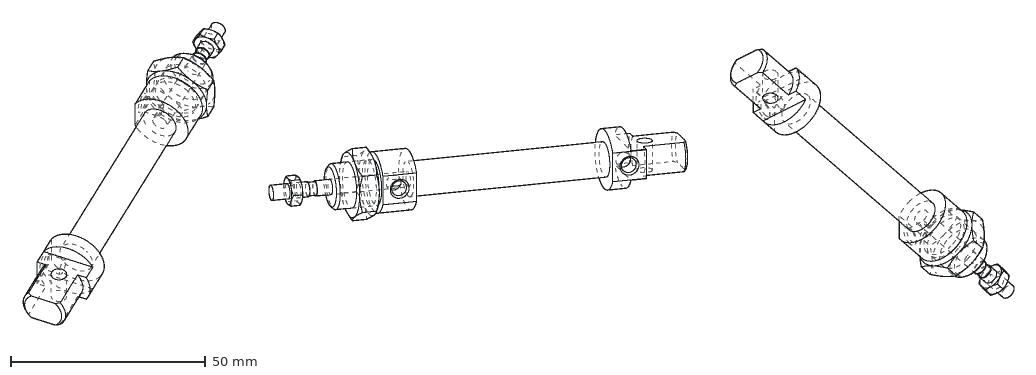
import cadquery as cq
import math

LENGTH = 111.0
ROD_TIP = LENGTH / 2
SHANK_END = -LENGTH / 2

ROD_DIAMETER = 4.0
NECK_DIAMETER = 3.5
NECK_FRONT = 45.6
NECK_LENGTH = 2.0

ROD_NUT_FRONT = 51.1
ROD_NUT_THICKNESS = 3.0
ROD_NUT_FLATS = 7.0
MOUNT_NUT_FRONT = 34.3
MOUNT_NUT_THICKNESS = 5.3
MOUNT_NUT_FLATS = 17.0
BEVEL_ANGLE = 30.0

NOSE_DIAMETER = 12.0
NOSE_FRONT = 39.5
NOSE_CHAMFER = 0.8
COLLAR_DIAMETER = 16.0
COLLAR_FRONT = 27.5
COLLAR_LENGTH = 9.1
COLLAR_REAR = COLLAR_FRONT - COLLAR_LENGTH
COLLAR_FLAT_X = -7.0
TUBE_DIAMETER = 9.2
CAP_FRONT = -34.6
CAP_REAR = CAP_FRONT - COLLAR_LENGTH
CAP_ROUND_LENGTH = 5.0
SHANK_DIAMETER = 12.0
SHANK_THICKNESS = 8.0
SHANK_CHAMFER = 0.8
PIVOT_HOLE_DIAMETER = 4.0
PIVOT_HOLE_Y = -45.5

PORT_DIAMETER = 4.0
PORT_MOUTH_DIAMETER = 5.1
PORT_MOUTH_DEPTH = (PORT_MOUTH_DIAMETER - PORT_DIAMETER) / 2
PORT_FLOOR_X = -1.8
FRONT_PORT_Y = COLLAR_FRONT - COLLAR_LENGTH / 2
REAR_PORT_Y = CAP_FRONT - COLLAR_LENGTH / 2


def cylinder(diameter, front, rear):
    """Solid cylinder on the Y axis from front back to rear."""
    return cq.Workplane("XZ", origin=(0, front, 0)).circle(diameter / 2).extrude(front - rear)


def make_rod():
    """Piston rod with a narrow neck, ending at the back of the collar."""
    rod = cylinder(ROD_DIAMETER, ROD_TIP, COLLAR_REAR)
    neck_rear = NECK_FRONT - NECK_LENGTH
    groove = cylinder(ROD_DIAMETER, NECK_FRONT, neck_rear).cut(
        cylinder(NECK_DIAMETER, NECK_FRONT, neck_rear)
    )
    return rod.cut(groove)


def make_nut(flats, thickness, bore, front, turn):
    """Hexagon nut with its corners bevelled on both faces.

    A turn of 0 puts two corners on the X direction, 30 degrees puts two on Z.
    """
    corner_diameter = flats / math.cos(math.radians(30))
    corner_radius = corner_diameter / 2
    bevel = (corner_radius - flats / 2) * math.tan(math.radians(BEVEL_ANGLE))
    hexagon = (
        cq.Workplane("XZ", origin=(0, front, 0))
        .polygon(6, corner_diameter)
        .extrude(thickness)
        .rotate((0, 0, 0), (0, 1, 0), turn)
    )
    envelope = cylinder(corner_diameter, front, front - thickness)
    envelope = envelope.faces("|Y").chamfer(bevel, corner_radius - flats / 2)
    return hexagon.intersect(envelope).cut(cylinder(bore, front, front - thickness))


def make_nose():
    """Mounting spigot in front of the collar, chamfered at its tip."""
    radius = NOSE_DIAMETER / 2
    return (
        cq.Workplane("XY")
        .moveTo(0, COLLAR_FRONT)
        .lineTo(radius, COLLAR_FRONT)
        .lineTo(radius, NOSE_FRONT - NOSE_CHAMFER)
        .lineTo(radius - NOSE_CHAMFER, NOSE_FRONT)
        .lineTo(0, NOSE_FRONT)
        .close()
        .revolve(360, (0, 0, 0), (0, 1, 0))
    )


def make_collar(front):
    """Round collar with one flat on its -X side."""
    rear = front - COLLAR_LENGTH
    flat_side = cq.Workplane("XY").box(
        COLLAR_DIAMETER, COLLAR_LENGTH, COLLAR_DIAMETER, centered=(False, False, True)
    ).translate((COLLAR_FLAT_X, rear, 0))
    return cylinder(COLLAR_DIAMETER, front, rear).intersect(flat_side)


def make_end_cap():
    """Rear collar that thins to a flat-sided shank with a pivot hole."""
    shank = cylinder(SHANK_DIAMETER, CAP_REAR, SHANK_END).faces("<Y").chamfer(SHANK_CHAMFER)
    cap = make_collar(CAP_FRONT).union(shank)
    thin_front = CAP_FRONT - CAP_ROUND_LENGTH
    thin_length = thin_front - SHANK_END
    side_cut = cq.Workplane("XY").box(
        COLLAR_DIAMETER, thin_length, COLLAR_DIAMETER, centered=(True, False, False)
    )
    cap = cap.cut(side_cut.translate((0, SHANK_END, SHANK_THICKNESS / 2)))
    cap = cap.cut(side_cut.translate((0, SHANK_END, -SHANK_THICKNESS / 2 - COLLAR_DIAMETER)))
    pivot_hole = (
        cq.Workplane("XY", origin=(0, PIVOT_HOLE_Y, 0))
        .circle(PIVOT_HOLE_DIAMETER / 2)
        .extrude(SHANK_THICKNESS, both=True)
    )
    return cap.cut(pivot_hole)


def make_port(y):
    """Cutter for a blind port that enters the -X flat through a countersunk mouth."""
    return (
        cq.Workplane("XY", origin=(0, y, 0))
        .moveTo(COLLAR_FLAT_X, 0)
        .lineTo(COLLAR_FLAT_X, PORT_MOUTH_DIAMETER / 2)
        .lineTo(COLLAR_FLAT_X + PORT_MOUTH_DEPTH, PORT_DIAMETER / 2)
        .lineTo(PORT_FLOOR_X, PORT_DIAMETER / 2)
        .lineTo(PORT_FLOOR_X, 0)
        .close()
        .revolve(360, (0, 0, 0), (1, 0, 0))
    )


def make_housing():
    """Nose, front collar, tube and end cap in one piece, bored for the rod."""
    tube = cylinder(TUBE_DIAMETER, COLLAR_REAR, CAP_FRONT)
    housing = make_nose().union(make_collar(COLLAR_FRONT)).union(tube).union(make_end_cap())
    for port_y in (FRONT_PORT_Y, REAR_PORT_Y):
        housing = housing.cut(make_port(port_y))
    return housing.cut(cylinder(ROD_DIAMETER, NOSE_FRONT, COLLAR_REAR))


rod = make_rod()
rod_nut = make_nut(ROD_NUT_FLATS, ROD_NUT_THICKNESS, ROD_DIAMETER, ROD_NUT_FRONT, 0)
mount_nut = make_nut(MOUNT_NUT_FLATS, MOUNT_NUT_THICKNESS, NOSE_DIAMETER, MOUNT_NUT_FRONT, 30)
housing = make_housing()

result = cq.Compound.makeCompound([rod.val(), rod_nut.val(), mount_nut.val(), housing.val()])